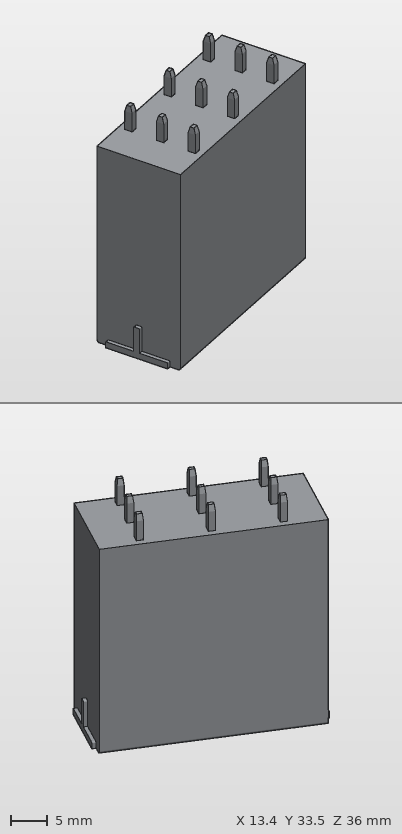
import cadquery as cq

overall_length = 33.52
overall_height = 36.0

body_width = 13.4
body_length = 32.32
pin_length = 4.0
body_height = overall_height - pin_length
bottom_edge_radius = 0.4

pins_per_side = 3
pin_pitch_x = 5.08
pin_pitch_y = 10.16
pin_width = 1.2
pin_depth = 1.0
tip_width = 0.6
tip_depth = 0.8
tip_height = 1.0

rib_bar_width = 10.0
rib_bar_height = 1.0
rib_stem_width = 1.0
rib_height = 5.0
rib_corner_radius = 0.2


def make_body():
    """Block standing on Z = 0, with its two long bottom edges rounded."""
    block = cq.Workplane("XY").box(body_width, body_length, body_height, centered=(True, True, False))
    return block.faces("<Z").edges("|Y").fillet(bottom_edge_radius)


def make_pin():
    """Rectangular pin with a tapered tip, standing on the top of the body."""
    shank_length = pin_length - tip_height
    shank = (
        cq.Workplane("XY", origin=(0, 0, body_height))
        .rect(pin_width, pin_depth)
        .extrude(shank_length)
    )
    tip = (
        cq.Workplane("XY", origin=(0, 0, body_height + shank_length))
        .rect(pin_width, pin_depth)
        .workplane(offset=tip_height)
        .rect(tip_width, tip_depth)
        .loft(ruled=True)
    )
    return shank.union(tip)


def make_end_ribs():
    """Inverted T running the full length, so that both ends project from the body."""
    half_bar = rib_bar_width / 2
    half_stem = rib_stem_width / 2
    profile = [
        (-half_bar, 0),
        (half_bar, 0),
        (half_bar, rib_bar_height),
        (half_stem, rib_bar_height),
        (half_stem, rib_height),
        (-half_stem, rib_height),
        (-half_stem, rib_bar_height),
        (-half_bar, rib_bar_height),
    ]
    rounded_corners = [
        (half_bar, 0, rib_bar_height),
        (-half_bar, 0, rib_bar_height),
        (half_stem, 0, rib_height),
        (-half_stem, 0, rib_height),
    ]
    ribs = cq.Workplane("XZ").polyline(profile).close().extrude(overall_length / 2, both=True)
    for corner in rounded_corners:
        ribs = ribs.edges("|Y").edges(cq.selectors.NearestToPointSelector(corner)).fillet(rib_corner_radius)
    return ribs


result = make_body().union(make_end_ribs())

middle_pin = (pins_per_side - 1) / 2
pin = make_pin()
for column in range(pins_per_side):
    for row in range(pins_per_side):
        pin_x = (column - middle_pin) * pin_pitch_x
        pin_y = (row - middle_pin) * pin_pitch_y
        result = result.union(pin.translate((pin_x, pin_y, 0)))